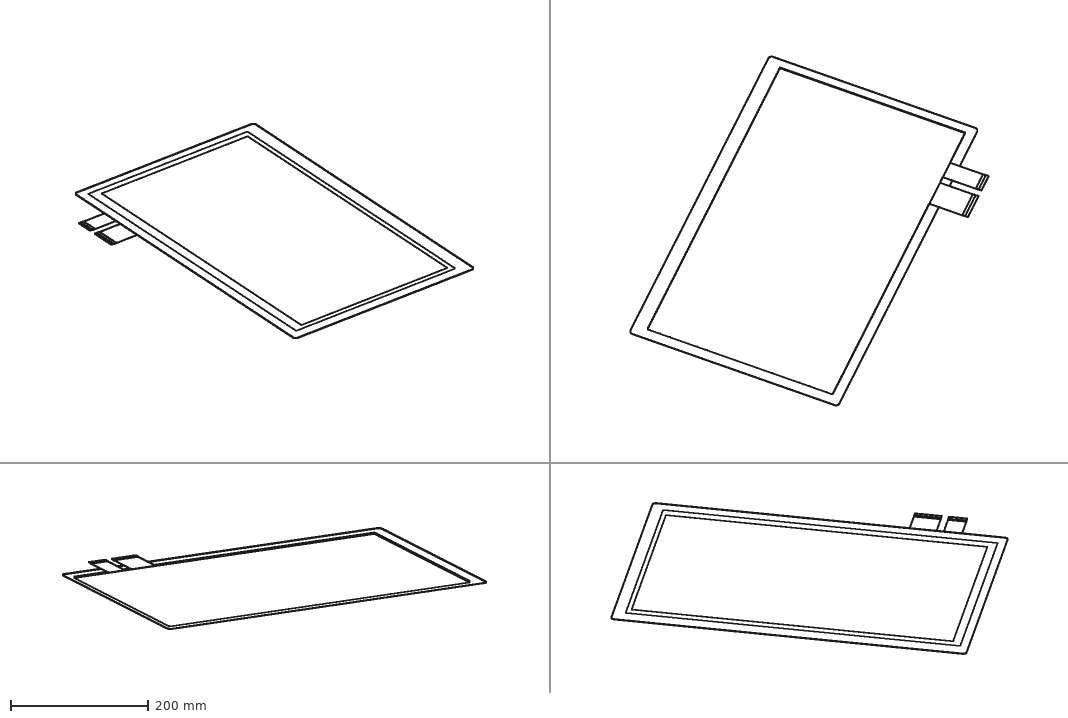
import cadquery as cq

GLASS_LENGTH = 526.5
GLASS_WIDTH = 330.0
GLASS_THICKNESS = 1.1
GLASS_CORNER_RADIUS = 5.5

WINDOW_LENGTH = 476.5
WINDOW_WIDTH = 268.5
WINDOW_DEPTH = 0.1

OVERALL_THICKNESS = 3.6
SENSOR_MARGIN_LEFT = 12.5
SENSOR_MARGIN_RIGHT = 18.0
SENSOR_MARGIN_FRONT = 16.0
SENSOR_MARGIN_BACK = 21.5

TAILS = [(69.0, 27.5), (107.0, 40.0)]
TAIL_REACH = 45.5
TAIL_THICKNESS = 0.5
TAIL_BOTTOM = -3.0

PAD_LENGTH = 9.0
PAD_OVERHANG = 5.0
PAD_THICKNESS = 0.5

LEFT = -GLASS_LENGTH / 2
FRONT = -GLASS_WIDTH / 2
GLASS_BOTTOM = -GLASS_THICKNESS
SENSOR_FRONT = FRONT + SENSOR_MARGIN_FRONT
PAD_FRONT = FRONT - TAIL_REACH
STRIP_FRONT = PAD_FRONT + PAD_OVERHANG


def block(x, y, z, length, width, height):
    """Box whose left, front, bottom corner is at (x, y, z)."""
    return cq.Workplane("XY").box(length, width, height, centered=False).translate((x, y, z))


def cover_glass():
    """Plate with rounded corners and the shallow window in its top face."""
    glass = block(LEFT, FRONT, GLASS_BOTTOM, GLASS_LENGTH, GLASS_WIDTH, GLASS_THICKNESS)
    glass = glass.edges("|Z").fillet(GLASS_CORNER_RADIUS)
    window = block(
        -WINDOW_LENGTH / 2, -WINDOW_WIDTH / 2, -WINDOW_DEPTH, WINDOW_LENGTH, WINDOW_WIDTH, WINDOW_DEPTH
    )
    return glass.cut(window)


def sensor_sheet():
    """Smaller sheet that fills the thickness below the glass."""
    length = GLASS_LENGTH - SENSOR_MARGIN_LEFT - SENSOR_MARGIN_RIGHT
    width = GLASS_WIDTH - SENSOR_MARGIN_FRONT - SENSOR_MARGIN_BACK
    height = OVERALL_THICKNESS - GLASS_THICKNESS
    return block(LEFT + SENSOR_MARGIN_LEFT, SENSOR_FRONT, -OVERALL_THICKNESS, length, width, height)


def tail(offset, width):
    """Thin strip from the front face of the sensor sheet, with its contact pad on top."""
    x = LEFT + offset
    strip = block(x, STRIP_FRONT, TAIL_BOTTOM, width, SENSOR_FRONT - STRIP_FRONT, TAIL_THICKNESS)
    pad = block(x, PAD_FRONT, TAIL_BOTTOM + TAIL_THICKNESS, width, PAD_LENGTH, PAD_THICKNESS)
    return strip.union(pad)


result = cover_glass().union(sensor_sheet())
for tail_offset, tail_width in TAILS:
    result = result.union(tail(tail_offset, tail_width))